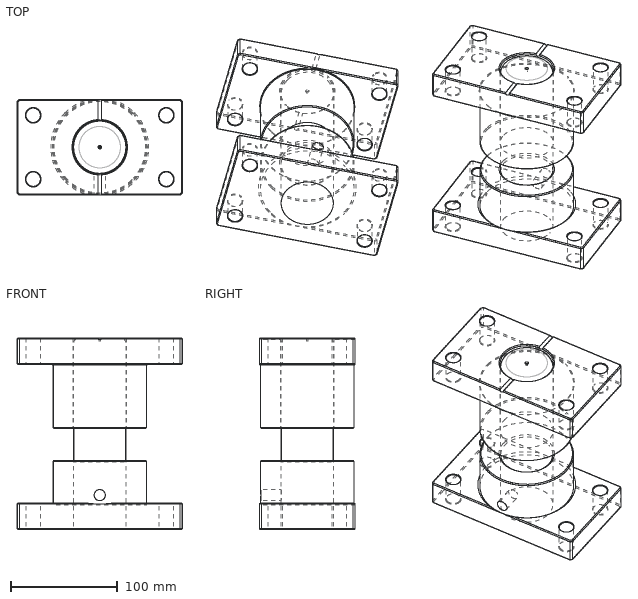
import cadquery as cq

TOTAL_HEIGHT = 180.0

PLATE_LENGTH = 155.0
PLATE_WIDTH = 90.0
PLATE_THICKNESS = 25.0
CORNER_CHAMFER = 2.0
EDGE_CHAMFER = 0.99

HOLE_SPACING_X = 125.0
HOLE_SPACING_Y = 60.0
HOLE_DIAMETER = 13.5
HOLE_CHAMFER = 0.5

BOSS_DIAMETER = 87.9
BOSS_CHAMFER = 0.99
LOWER_BOSS_HEIGHT = 40.0
UPPER_BOSS_HEIGHT = 60.0
LOWER_FOOT_RECESS = 2.0
UPPER_FOOT_COLLAR = 0.7

POST_DIAMETER = 49.0
POST_TOP_RADIUS = 5.0
SLIDING_BORE_DIAMETER = 50.0
BORE_RIM_DIAMETER = 52.0

CENTRE_MARK_DIAMETER = 3.0
CENTRE_DRILL_DIAMETER = 1.0
CENTRE_DRILL_DEPTH = 3.0

SIDE_HOLE_DIAMETER = 10.5
SIDE_HOLE_HEIGHT = 32.5

GROOVE_RADIUS = 1.8


def make_cylinder(diameter, height):
    """Cylinder about the Z axis, standing on Z = 0."""
    return cq.Workplane("XY").circle(diameter / 2).extrude(height)


def make_cone(bottom_diameter, bottom, top_diameter, top):
    """Truncated cone about the Z axis between two heights."""
    return (
        cq.Workplane("XZ")
        .moveTo(0, bottom)
        .lineTo(bottom_diameter / 2, bottom)
        .lineTo(top_diameter / 2, top)
        .lineTo(0, top)
        .close()
        .revolve(360, (0, 0, 0), (0, 1, 0))
    )


def make_mounting_holes():
    """Four through holes near the plate corners, chamfered at both ends."""
    rim_diameter = HOLE_DIAMETER + 2 * HOLE_CHAMFER
    hole = make_cylinder(HOLE_DIAMETER, PLATE_THICKNESS)
    hole = hole.union(make_cone(rim_diameter, 0, HOLE_DIAMETER, HOLE_CHAMFER))
    hole = hole.union(make_cone(HOLE_DIAMETER, PLATE_THICKNESS - HOLE_CHAMFER, rim_diameter, PLATE_THICKNESS))
    holes = cq.Workplane("XY")
    for side_x in (-1, 1):
        for side_y in (-1, 1):
            place = (side_x * HOLE_SPACING_X / 2, side_y * HOLE_SPACING_Y / 2, 0)
            holes.add(hole.translate(place).val())
    return holes.combine()


def make_plate():
    """Plate standing on Z = 0, with chamfered edges and its mounting holes."""
    plate = cq.Workplane("XY").box(PLATE_LENGTH, PLATE_WIDTH, PLATE_THICKNESS, centered=(True, True, False))
    plate = plate.edges("|Z").chamfer(CORNER_CHAMFER)
    plate = plate.faces("<Z or >Z").edges().chamfer(EDGE_CHAMFER)
    return plate.cut(make_mounting_holes())


def make_boss(height):
    """Boss with a chamfered rim, rising by the given height above the plate and rooted through it."""
    boss = make_cylinder(BOSS_DIAMETER, PLATE_THICKNESS + height)
    return boss.faces(">Z").edges().chamfer(BOSS_CHAMFER)


def make_lower_flange():
    """Flange that holds the foot of the post; its boss rises from a bevelled recess in the plate."""
    boss_top = PLATE_THICKNESS + LOWER_BOSS_HEIGHT
    recess = make_cone(
        BOSS_DIAMETER,
        PLATE_THICKNESS - LOWER_FOOT_RECESS,
        BOSS_DIAMETER + 2 * LOWER_FOOT_RECESS,
        PLATE_THICKNESS,
    )
    bore_chamfer = (BORE_RIM_DIAMETER - POST_DIAMETER) / 2
    bore_rim = make_cone(POST_DIAMETER, boss_top - bore_chamfer, BORE_RIM_DIAMETER, boss_top)
    side_hole = (
        cq.Workplane("XZ")
        .center(0, SIDE_HOLE_HEIGHT)
        .circle(SIDE_HOLE_DIAMETER / 2)
        .extrude(PLATE_WIDTH / 2)
    )
    flange = make_plate().cut(recess).union(make_boss(LOWER_BOSS_HEIGHT))
    return flange.cut(make_cylinder(POST_DIAMETER, boss_top)).cut(bore_rim).cut(side_hole)


def make_upper_flange():
    """Flange whose boss, with a bevelled collar at its root, hangs below the plate."""
    boss_end = PLATE_THICKNESS + UPPER_BOSS_HEIGHT
    collar = make_cone(
        BOSS_DIAMETER + 2 * UPPER_FOOT_COLLAR,
        PLATE_THICKNESS,
        BOSS_DIAMETER,
        PLATE_THICKNESS + UPPER_FOOT_COLLAR,
    )
    bore_chamfer = (BORE_RIM_DIAMETER - SLIDING_BORE_DIAMETER) / 2
    bore_rim = make_cone(BORE_RIM_DIAMETER, 0, SLIDING_BORE_DIAMETER, bore_chamfer)
    groove = (
        cq.Workplane("XZ", origin=(0, PLATE_WIDTH, 0))
        .moveTo(-GROOVE_RADIUS, 0)
        .threePointArc((0, GROOVE_RADIUS), (GROOVE_RADIUS, 0))
        .close()
        .extrude(2 * PLATE_WIDTH)
    )
    flange = make_plate().union(collar).union(make_boss(UPPER_BOSS_HEIGHT))
    flange = flange.cut(make_cylinder(SLIDING_BORE_DIAMETER, boss_end)).cut(bore_rim).cut(groove)
    return flange.rotate((0, 0, 0), (1, 0, 0), 180).translate((0, 0, TOTAL_HEIGHT))


def make_post():
    """Guide post with a rounded top edge and a small countersunk centre mark."""
    mark_depth = (CENTRE_MARK_DIAMETER - CENTRE_DRILL_DIAMETER) / 2
    mark = make_cone(CENTRE_DRILL_DIAMETER, TOTAL_HEIGHT - mark_depth, CENTRE_MARK_DIAMETER, TOTAL_HEIGHT)
    drill = make_cylinder(CENTRE_DRILL_DIAMETER, CENTRE_DRILL_DEPTH)
    drill = drill.translate((0, 0, TOTAL_HEIGHT - CENTRE_DRILL_DEPTH))
    post = make_cylinder(POST_DIAMETER, TOTAL_HEIGHT)
    post = post.faces(">Z").edges().fillet(POST_TOP_RADIUS)
    return post.cut(mark).cut(drill)


lower_flange = make_lower_flange().solids()
upper_flange = make_upper_flange().solids()
post = make_post().solids()

result = cq.Compound.makeCompound([lower_flange.val(), upper_flange.val(), post.val()])